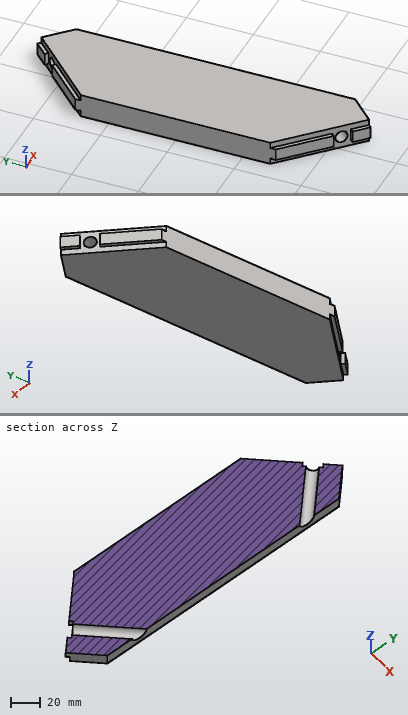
import cadquery as cq
import math

width = 70.0
length = 249.2
thickness = 18.0

tip_x = 49.5
tongue_height = 3.0
tongue_thickness = 9.0
tongue_gap = 14.0
short_tongue = 13.5
hole_diameter = 9.0

half_length = length / 2
mitre_inset = tongue_height / math.sqrt(2)
shoulder_x = tip_x + mitre_inset
shoulder_y = half_length - mitre_inset
corner_y = half_length - (width - tip_x)


def mitred_prism(peak_x, peak_y, height):
    """Prism symmetric about Y = 0 and Z = 0, with each end coming to a right-angled peak."""
    left_y = peak_y - peak_x
    outline = [
        (0, -left_y),
        (peak_x, -peak_y),
        (width, -corner_y),
        (width, corner_y),
        (peak_x, peak_y),
        (0, left_y),
    ]
    return cq.Workplane("XY").polyline(outline).close().extrude(height / 2, both=True)


def mitre_plane(end, distance, face_peak):
    """Plane on a mitre face, a given distance from its peak, with its normal into the part."""
    peak_x, peak_y = face_peak
    step = distance / math.sqrt(2)
    return cq.Plane(
        origin=(peak_x - step, end * (peak_y - step), 0),
        xDir=(1, end, 0),
        normal=(1, -end, 0),
    )


plate = mitred_prism(shoulder_x, shoulder_y, thickness)
tongue_core = mitred_prism(tip_x, half_length, tongue_thickness)
result = plate.union(tongue_core)

gap_center = short_tongue + tongue_gap / 2
for end in (-1, 1):
    gap_plane = mitre_plane(end, gap_center, (tip_x, half_length))
    gap = cq.Workplane(gap_plane).rect(tongue_gap, tongue_thickness).extrude(tongue_height)
    hole = cq.Workplane(gap_plane).circle(hole_diameter / 2).extrude(length / 2)
    result = result.cut(gap).cut(hole)